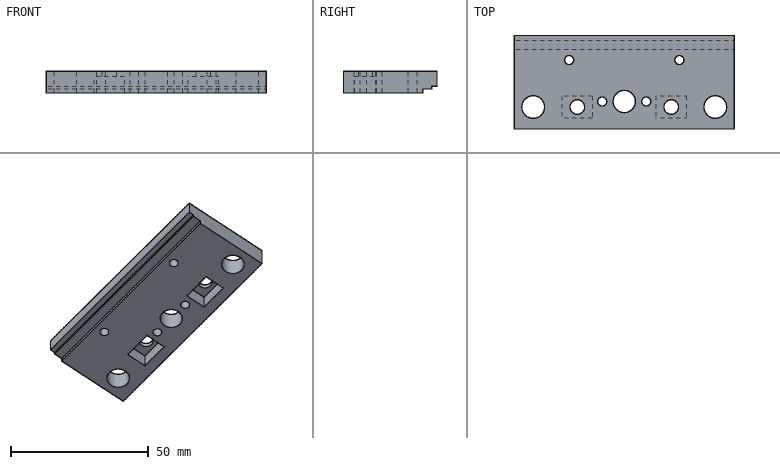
import cadquery as cq

length = 80.0
width = 34.0
thickness = 8.0

deep_rebate_depth = 5.2
deep_rebate_height = 1.5
shallow_rebate_depth = 1.9
shallow_rebate_height = 2.5

outer_row = 8.0
inner_row = 10.0
back_row = 25.0
mount_diameter = 8.2
mount_offset = 33.0
screw_diameter = 5.2
screw_offset = 17.0
pocket_length = 11.0
pocket_width = 8.0
neck_length = 2.0
centre_diameter = 8.0
small_diameter = 3.2
inner_offset = 8.0
back_offset = 20.0


def rebate(depth, height):
    """Full-length bar removed from the lower back edge."""
    return cq.Workplane("XY").box(length, depth, height, centered=(True, False, False)).translate(
        (0, width - depth, 0)
    )


def drill(body, diameter, points):
    """Cut straight through holes at the given points."""
    cutters = cq.Workplane("XY").pushPoints(points).circle(diameter / 2).extrude(thickness)
    return body.cut(cutters)


def mirrored_pair(offset, row):
    """Two points placed symmetrically about the middle of the plate."""
    return [(-offset, row), (offset, row)]


plate = cq.Workplane("XY").box(length, width, thickness, centered=(True, False, False))
plate = plate.cut(rebate(deep_rebate_depth, deep_rebate_height))
plate = plate.cut(rebate(shallow_rebate_depth, shallow_rebate_height))

plate = drill(plate, mount_diameter, mirrored_pair(mount_offset, outer_row))

screw_points = mirrored_pair(screw_offset, outer_row)
plate = drill(plate, screw_diameter, screw_points)
pockets = (
    cq.Workplane("XY")
    .pushPoints(screw_points)
    .rect(pocket_length, pocket_width)
    .extrude(thickness - neck_length)
)
plate = plate.cut(pockets)

plate = drill(plate, centre_diameter, [(0, inner_row)])
plate = drill(plate, small_diameter, mirrored_pair(inner_offset, inner_row))
plate = drill(plate, small_diameter, mirrored_pair(back_offset, back_row))

result = plate